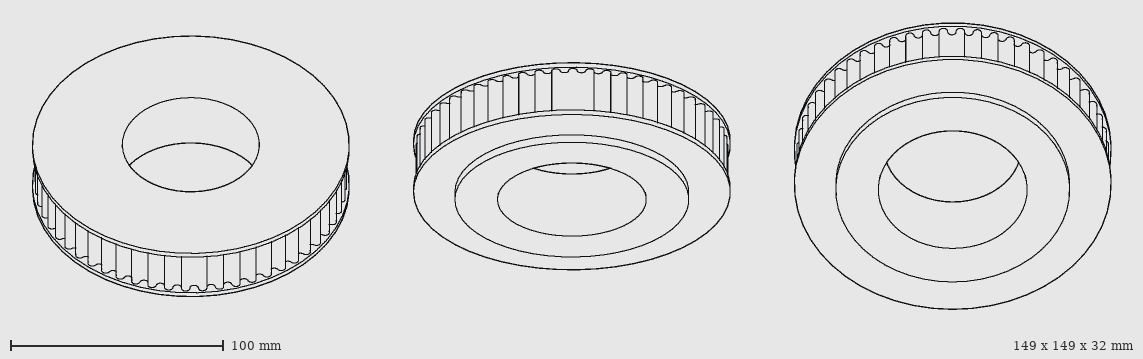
import cadquery as cq
import math

flange_diameter = 149.0
hub_diameter = 110.0
hub_height = 4.0
flange_thickness = 2.5
pulley_width = 28.0
total_height = hub_height + pulley_width

bore_bottom_diameter = 70.0
bore_half_taper_degrees = 5.0
bore_narrowing = total_height * math.tan(math.radians(bore_half_taper_degrees))
bore_top_diameter = bore_bottom_diameter - 2 * bore_narrowing

tooth_count = 56
tooth_pitch = 8.0
pitch_radius = tooth_count * tooth_pitch / (2 * math.pi)
half_pitch_angle = math.pi / tooth_count

round_radius = pitch_radius * math.sin(half_pitch_angle / 2)
tip_radius = pitch_radius + round_radius
root_radius = pitch_radius - round_radius
meeting_radius = pitch_radius * math.cos(half_pitch_angle / 2)


def polar(radius, angle):
    """Point at a radius and angle about the pulley axis."""
    return (radius * math.cos(angle), radius * math.sin(angle))


def disc(diameter, bottom, height):
    """Round plate on the pulley axis."""
    return cq.Workplane("XY").workplane(offset=bottom).circle(diameter / 2).extrude(height)


def toothed_rim(bottom, height):
    """Toothed rim, with one tooth centred on the +X axis."""
    outline = cq.Workplane("XY").workplane(offset=bottom)
    outline = outline.moveTo(*polar(meeting_radius, -half_pitch_angle / 2))
    for tooth in range(tooth_count):
        tooth_angle = 2 * tooth * half_pitch_angle
        groove_angle = tooth_angle + half_pitch_angle
        for middle_radius, middle_angle in ((tip_radius, tooth_angle), (root_radius, groove_angle)):
            arc_end = polar(meeting_radius, middle_angle + half_pitch_angle / 2)
            outline = outline.threePointArc(polar(middle_radius, middle_angle), arc_end)
    return outline.close().extrude(height)


def tapered_bore():
    """Cone frustum removed through the full height."""
    return (
        cq.Workplane("XY")
        .circle(bore_bottom_diameter / 2)
        .workplane(offset=total_height)
        .circle(bore_top_diameter / 2)
        .loft(ruled=True)
    )


hub = disc(hub_diameter, 0, hub_height)
lower_flange = disc(flange_diameter, hub_height, flange_thickness)
rim = toothed_rim(hub_height + flange_thickness, pulley_width - 2 * flange_thickness)
upper_flange = disc(flange_diameter, total_height - flange_thickness, flange_thickness)

result = hub.union(lower_flange).union(rim).union(upper_flange).cut(tapered_bore())